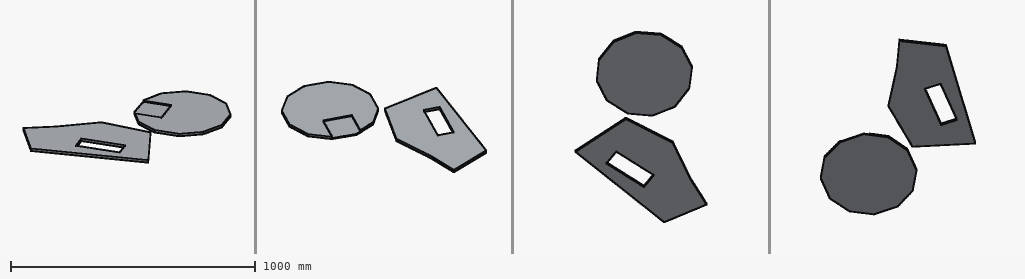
import cadquery as cq

THICKNESS = 12.0

PLATE_CORNERS = [
    (0, 169.0),
    (91.5, 0),
    (579.0, 57.0),
    (503.0, 302.5),
    (283.0, 324.0),
    (122.0, 226.0),
]

WINDOW_LENGTH = 189.0
WINDOW_WIDTH = 69.0
WINDOW_LEFT = 256.0
WINDOW_FRONT = 86.0

DISC_CENTER = (564.0, 518.0)
DISC_HALF_DEPTH = 190.0
DISC_CORNERS = [
    (-49.0, DISC_HALF_DEPTH),
    (54.5, DISC_HALF_DEPTH),
    (143.0, 137.0),
    (192.0, 49.0),
    (190.5, -55.0),
    (140.0, -141.0),
    (54.5, -DISC_HALF_DEPTH),
    (-53.0, -DISC_HALF_DEPTH),
    (-139.0, -140.0),
    (-190.0, -51.5),
    (-187.0, 53.0),
    (-138.5, 139.0),
]

POCKET_DEPTH = THICKNESS / 2
POCKET_RIGHT = -64.0
POCKET_BACK = 51.0
POCKET_WIDTH = 123.0
POCKET_LENGTH = 151.0


def make_plate():
    """Flat plate with a rectangular window through it."""
    plate = cq.Workplane("XY").polyline(PLATE_CORNERS).close().extrude(THICKNESS)
    window = (
        cq.Workplane("XY")
        .box(WINDOW_LENGTH, WINDOW_WIDTH, THICKNESS, centered=False)
        .translate((WINDOW_LEFT, WINDOW_FRONT, 0))
    )
    return plate.cut(window)


def make_disc():
    """Twelve-sided disc with a shallow pocket in its top face."""
    disc = cq.Workplane("XY").polyline(DISC_CORNERS).close().extrude(THICKNESS)
    pocket = (
        cq.Workplane("XY")
        .box(POCKET_LENGTH, POCKET_WIDTH, POCKET_DEPTH, centered=False)
        .translate((POCKET_RIGHT - POCKET_LENGTH, POCKET_BACK - POCKET_WIDTH, THICKNESS - POCKET_DEPTH))
    )
    return disc.cut(pocket).translate((*DISC_CENTER, 0))


plate = make_plate()
disc = make_disc()

result = cq.Compound.makeCompound([plate.solids().val(), disc.solids().val()])